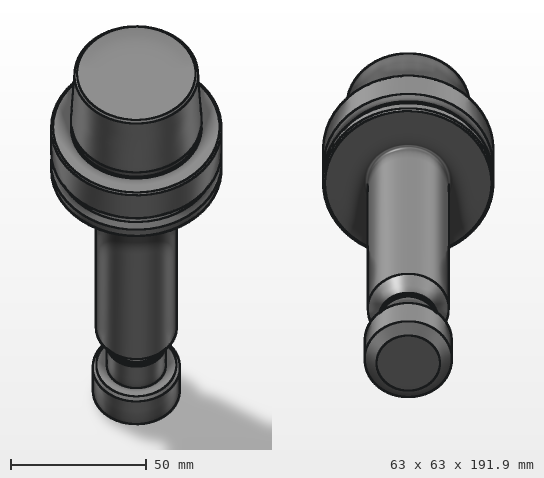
import cadquery as cq

total_height = 191.9
taper_height = 32.0
flange_height = 26.0
flange_top = total_height - taper_height
flange_bottom = flange_top - flange_height

taper_tip_radius = 22.8
taper_tip_chamfer = 1.0
taper_base_radius = 24.2
taper_base = 163.5
relief_radius = 23.8
relief_top = 162.2
relief_bottom = 160.5

flange_radius = 63.0 / 2
flange_chamfer = 0.8
groove_radius = 27.6
groove_shoulder_radius = 29.4
groove_upper_lip = 145.5
groove_top = 143.7
groove_bottom = 140.5
groove_lower_lip = 138.5

shaft_radius = 15.0
shaft_fillet = 1.7
cone_top = 40.3
cone_bottom = 33.2
neck_radius = 11.0

ring_count = 3
ring_pitch = 1.0
ring_width = 0.5
ring_depth = 0.2

head_radius = 16.1
head_top = 17.8
head_top_chamfer = 1.3
head_bottom_chamfer_height = 2.9
head_bottom_radius = 11.7


def revolve_section(points):
    """Revolve a closed half section of (radius, height) points about the Z axis."""
    return cq.Workplane("XZ").polyline(points).close().revolve(360, (0, 0, 0), (0, 1, 0))


def make_taper():
    return revolve_section([
        (0, flange_top),
        (taper_base_radius, flange_top),
        (relief_radius, relief_bottom),
        (relief_radius, relief_top),
        (taper_base_radius, taper_base),
        (taper_tip_radius, total_height - taper_tip_chamfer),
        (taper_tip_radius - taper_tip_chamfer, total_height),
        (0, total_height),
    ])


def make_flange():
    chamfered_radius = flange_radius - flange_chamfer
    return revolve_section([
        (0, flange_bottom),
        (chamfered_radius, flange_bottom),
        (flange_radius, flange_bottom + flange_chamfer),
        (flange_radius, groove_lower_lip),
        (groove_shoulder_radius, groove_bottom),
        (groove_radius, groove_bottom),
        (groove_radius, groove_top),
        (groove_shoulder_radius, groove_top),
        (flange_radius, groove_upper_lip),
        (flange_radius, flange_top - flange_chamfer),
        (chamfered_radius, flange_top),
        (0, flange_top),
    ])


def make_shaft():
    """Neck, cone and shaft, flaring into the flange through a quarter-round fillet."""
    fillet_start = flange_bottom - shaft_fillet
    section = (
        cq.Workplane("XZ")
        .moveTo(0, head_top)
        .lineTo(neck_radius, head_top)
        .lineTo(neck_radius, cone_bottom)
        .lineTo(shaft_radius, cone_top)
        .lineTo(shaft_radius, fillet_start)
        .radiusArc((shaft_radius + shaft_fillet, flange_bottom), shaft_fillet)
        .lineTo(0, flange_bottom)
        .close()
    )
    return section.revolve(360, (0, 0, 0), (0, 1, 0))


def make_neck_ring(top):
    """Thin ring of material to cut from the neck surface, just below the given height."""
    return (
        cq.Workplane("XY", origin=(0, 0, top - ring_width))
        .circle(neck_radius)
        .circle(neck_radius - ring_depth)
        .extrude(ring_width)
    )


def make_head():
    return revolve_section([
        (0, 0),
        (head_bottom_radius, 0),
        (head_radius, head_bottom_chamfer_height),
        (head_radius, head_top - head_top_chamfer),
        (head_radius - head_top_chamfer, head_top),
        (0, head_top),
    ])


result = make_head().union(make_shaft()).union(make_flange()).union(make_taper())
for ring in range(ring_count):
    result = result.cut(make_neck_ring(cone_bottom - ring * ring_pitch))